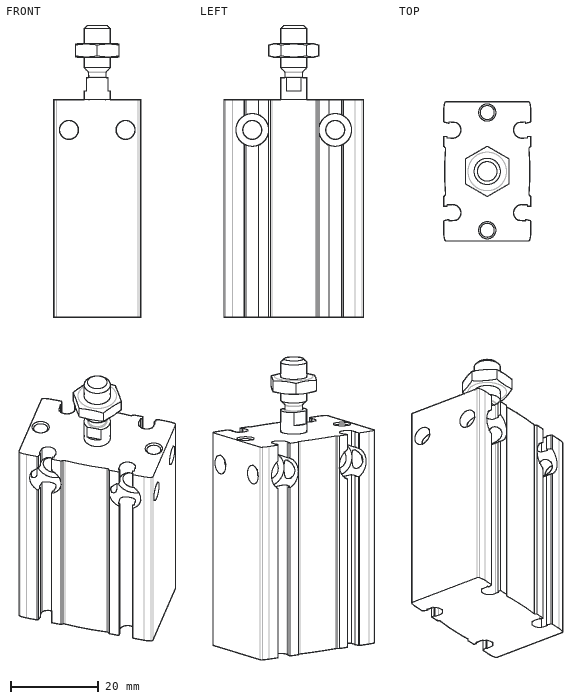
import cadquery as cq
import math


total_height = 67
body_height = 50.0
body_width = 20.0
body_depth = 32.0

edge_curve_length = 2.0
edge_curve_inset = 0.35
edge_fillet = 0.5

recess_half_outer = 5.75
recess_half_inner = 5.35
recess_depth = 0.4
panel_half = 4.95
panel_crown_gap = 0.2

slot_pitch = 19.0
slot_mouth_half = 1.5
slot_depth = 3.95
slot_lip_thickness = 0.8
slot_wedge_half = 1.75
slot_wedge_thickness = 1.3
slot_edge_chamfer = 0.2
slot_wall_half = 1.8
slot_floor_radius = 1.9
slot_inner_arc_start = 1.8
slot_outer_arc_end = 2.95

mount_hole_diameter = 4.3
mount_hole_drop = 7.0
side_hole_pitch = slot_pitch
counterbore_diameter = 7.5
counterbore_depth = 5.7
face_hole_pitch = 13.0

top_hole_pitch = 27.0
top_hole_diameter = 3.2
top_hole_mouth = 3.95
top_hole_depth = 8.05

rod_diameter = 6
rod_insertion = 10.05
rod_tip_diameter = 4.5
neck_diameter = 4
neck_fillet = 0.2
shoulder_height = 55.0
neck_top_height = 56.3
flat_bottom_height = 52.0
flats_width = 5.0

nut_width = 10.0
nut_thickness = 3.2
nut_top_drop = 4.15
nut_face_diameter = 8.85
nut_chamfer_angle = 15

half_width = body_width / 2
half_depth = body_depth / 2
rod_radius = rod_diameter / 2
hole_height = body_height - mount_hole_drop
SIGNS = (-1, 1)
NUT_SIDES = 6


def cylinder(diameter, length, base, axis):
    return cq.Workplane(cq.Solid.makeCylinder(diameter / 2, length, cq.Vector(*base), cq.Vector(*axis)))


def make_body_half():
    """Half of the plain body on the +X side."""
    curve_start_y = half_depth - edge_curve_length
    curve_mid = (half_width - edge_curve_inset / 4, half_depth - edge_curve_length / 2)
    curve_end_x = half_width - edge_curve_inset
    recess_x = half_width - recess_depth
    outline = (
        cq.Workplane("XY")
        .moveTo(0, half_depth)
        .lineTo(curve_end_x, half_depth)
        .threePointArc(curve_mid, (half_width, curve_start_y))
        .lineTo(half_width, recess_half_outer)
        .lineTo(recess_x, recess_half_inner)
        .lineTo(recess_x, panel_half)
        .threePointArc((half_width - panel_crown_gap, 0), (recess_x, -panel_half))
        .lineTo(recess_x, -recess_half_inner)
        .lineTo(half_width, -recess_half_outer)
        .lineTo(half_width, -curve_start_y)
        .threePointArc((curve_mid[0], -curve_mid[1]), (curve_end_x, -half_depth))
        .lineTo(0, -half_depth)
        .close()
    )
    body = outline.extrude(body_height)
    corners = body.edges("|Z").edges(">Y or <Y").edges(">X")
    return corners.fillet(edge_fillet)


def make_slot(side, end):
    """Cutter for one slot, on the given side (X sign) and near the given end (Y sign)."""
    def point(depth, across):
        return (side * (half_width - depth), end * (slot_pitch / 2 + across))

    def floor_half(depth):
        """Half width of the floor arc at a depth below the side face."""
        return math.sqrt(slot_floor_radius**2 - (depth - slot_depth + slot_floor_radius) ** 2)

    return (
        cq.Workplane("XY")
        .moveTo(*point(0, -slot_mouth_half))
        .lineTo(*point(slot_lip_thickness, -slot_mouth_half))
        .lineTo(*point(slot_lip_thickness, -slot_wall_half))
        .lineTo(*point(slot_inner_arc_start, -floor_half(slot_inner_arc_start)))
        .threePointArc(point(slot_depth, 0), point(slot_outer_arc_end, floor_half(slot_outer_arc_end)))
        .lineTo(*point(slot_wedge_thickness, slot_wall_half))
        .lineTo(*point(slot_wedge_thickness, slot_mouth_half))
        .lineTo(*point(slot_edge_chamfer, slot_wedge_half))
        .lineTo(*point(0, slot_wedge_half + slot_edge_chamfer))
        .close()
        .extrude(body_height)
    )


def make_top_hole(end):
    """Cutter for one blind chamfered hole in the body top."""
    y = end * top_hole_pitch / 2
    r = top_hole_diameter / 2
    mouth_r = top_hole_mouth / 2
    hole = cylinder(top_hole_diameter, top_hole_depth, (0, y, body_height), (0, 0, -1))
    chamfer = cq.Solid.makeCone(mouth_r, r, mouth_r - r, cq.Vector(0, y, body_height), cq.Vector(0, 0, -1))
    return hole.union(cq.Workplane(chamfer))


def make_housing():
    """Body with its slots, mounting holes, top holes and rod bore."""
    half = make_body_half()
    housing = half.union(half.mirror("YZ"))
    for end in SIGNS:
        y = end * side_hole_pitch / 2
        housing = housing.cut(
            cylinder(mount_hole_diameter, body_width, (-half_width, y, hole_height), (1, 0, 0))
        )
        housing = housing.cut(make_top_hole(end))
        for side in SIGNS:
            housing = housing.cut(make_slot(side, end))
            housing = housing.cut(
                cylinder(counterbore_diameter, counterbore_depth,
                         (side * half_width, y, hole_height), (-side, 0, 0))
            )
    for side in SIGNS:
        x = side * face_hole_pitch / 2
        housing = housing.cut(
            cylinder(mount_hole_diameter, body_depth, (x, -half_depth, hole_height), (0, 1, 0))
        )
    rod_bore = cylinder(rod_diameter, rod_insertion, (0, 0, body_height), (0, 0, -1))
    return housing.cut(rod_bore)


def make_rod():
    """Turned rod with an undercut neck and two wrench flats."""
    tip_chamfer = (rod_diameter - rod_tip_diameter) / 2
    neck_radius = neck_diameter / 2
    cone_top = neck_top_height + rod_radius - neck_radius
    rod = (
        cq.Workplane("XZ")
        .moveTo(0, body_height - rod_insertion)
        .lineTo(rod_radius, body_height - rod_insertion)
        .lineTo(rod_radius, shoulder_height)
        .lineTo(neck_radius, shoulder_height)
        .lineTo(neck_radius, neck_top_height)
        .lineTo(rod_radius, cone_top)
        .lineTo(rod_radius, total_height - tip_chamfer)
        .lineTo(rod_tip_diameter / 2, total_height)
        .lineTo(0, total_height)
        .close()
        .revolve(360, (0, 0, 0), (0, 1, 0))
    )
    neck_ends = rod.edges("%CIRCLE").edges(cq.selectors.RadiusNthSelector(0))
    rod = neck_ends.fillet(neck_fillet)
    flat_height = shoulder_height - flat_bottom_height
    for side in SIGNS:
        flat = cq.Workplane("XY").box(rod_diameter, rod_diameter, flat_height, centered=(True, True, False))
        rod = rod.cut(flat.translate((side * (flats_width + rod_diameter) / 2, 0, flat_bottom_height)))
    return rod


def make_nut():
    """Hexagonal nut, chamfered on both faces and bored for the rod."""
    nut_top = total_height - nut_top_drop
    corner_radius = nut_width / 2 / math.cos(math.pi / NUT_SIDES)
    face_radius = nut_face_diameter / 2
    drop = (corner_radius - face_radius) * math.tan(math.radians(nut_chamfer_angle))
    prism = (
        cq.Workplane("XY")
        .polygon(NUT_SIDES, 2 * corner_radius)
        .extrude(nut_thickness)
        .rotate((0, 0, 0), (0, 0, 1), 180 / NUT_SIDES)
    )
    envelope = (
        cq.Workplane("XZ")
        .moveTo(rod_radius, 0)
        .lineTo(face_radius, 0)
        .lineTo(corner_radius, drop)
        .lineTo(corner_radius, nut_thickness - drop)
        .lineTo(face_radius, nut_thickness)
        .lineTo(rod_radius, nut_thickness)
        .close()
        .revolve(360, (0, 0, 0), (0, 1, 0))
    )
    return prism.intersect(envelope).translate((0, 0, nut_top - nut_thickness))


housing = make_housing().solids()
rod = make_rod().solids()
nut = make_nut().solids()

result = cq.Compound.makeCompound([housing.val(), rod.val(), nut.val()])